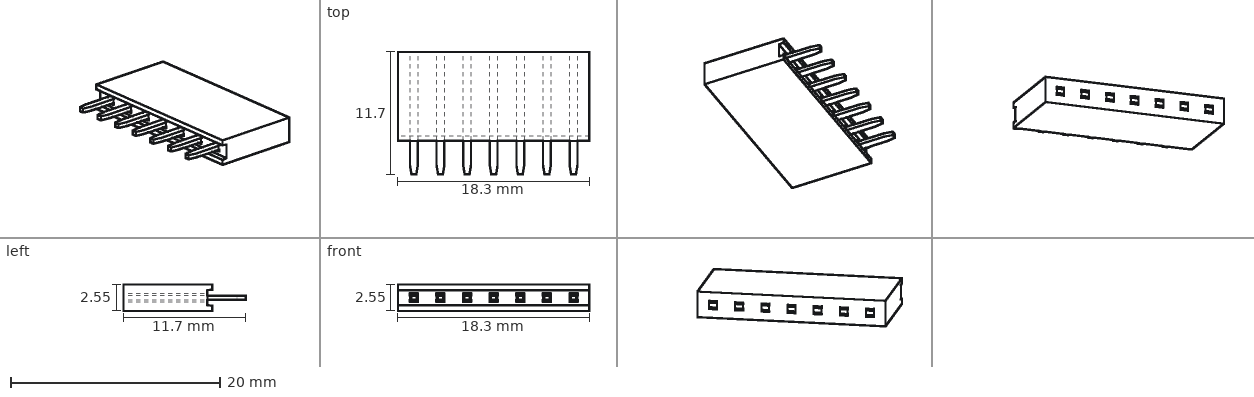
import cadquery as cq

PIN_COUNT = 7
PITCH = 2.55
HOUSING_LENGTH = 18.29
HOUSING_DEPTH = 8.5
HOUSING_HEIGHT = PITCH

GROOVE_DEPTH = 0.5
GROOVE_FLOOR_HEIGHT = 1.4
GROOVE_MOUTH_HEIGHT = 1.52

PIN_WIDTH = 0.77
PIN_THICKNESS = 0.42
PIN_PROTRUSION = 3.2
TIP_WIDTH = 0.48
TIP_LENGTH = 0.88

SLOT_WIDTH = PIN_WIDTH
SLOT_HEIGHT = 0.8

pin_positions = [(i - (PIN_COUNT - 1) / 2) * PITCH for i in range(PIN_COUNT)]


def make_housing():
    """Block with a flared groove along its pin side and one through slot per pin."""
    half_height = HOUSING_HEIGHT / 2
    half_mouth = GROOVE_MOUTH_HEIGHT / 2
    half_floor = GROOVE_FLOOR_HEIGHT / 2
    profile = [
        (0, -half_height),
        (HOUSING_DEPTH, -half_height),
        (HOUSING_DEPTH, half_height),
        (0, half_height),
        (0, half_mouth),
        (GROOVE_DEPTH, half_floor),
        (GROOVE_DEPTH, -half_floor),
        (0, -half_mouth),
    ]
    block = cq.Workplane("YZ").polyline(profile).close().extrude(HOUSING_LENGTH / 2, both=True)
    slots = (
        cq.Workplane("XZ")
        .pushPoints([(x, 0) for x in pin_positions])
        .rect(SLOT_WIDTH, SLOT_HEIGHT)
        .extrude(-HOUSING_DEPTH)
    )
    return block.cut(slots)


def make_pin(x):
    """Flat pin centred on x, running from the back of the housing to its tapered tip."""
    half_width = PIN_WIDTH / 2
    half_tip = TIP_WIDTH / 2
    tip_y = -PIN_PROTRUSION
    taper_start_y = tip_y + TIP_LENGTH
    outline = [
        (-half_width, HOUSING_DEPTH),
        (-half_width, taper_start_y),
        (-half_tip, tip_y),
        (half_tip, tip_y),
        (half_width, taper_start_y),
        (half_width, HOUSING_DEPTH),
    ]
    pin = cq.Workplane("XY").polyline(outline).close().extrude(PIN_THICKNESS / 2, both=True)
    return pin.translate((x, 0, 0))


housing = make_housing()
pins = [make_pin(x) for x in pin_positions]

result = cq.Compound.makeCompound([housing.val(), *[pin.val() for pin in pins]])